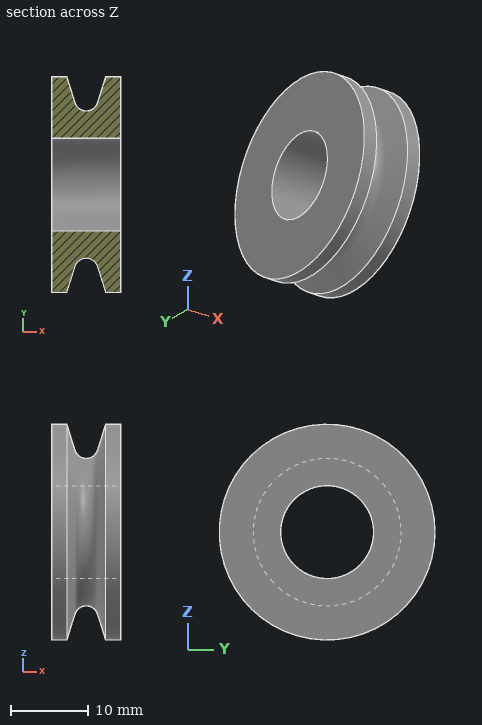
import cadquery as cq
import math

outer_radius = 14.0
bore_radius = 12.0 / 2
width = 9.0
groove_mouth_width = 5.0
groove_depth = 4.42
groove_floor_radius = 1.5

mouth_half = groove_mouth_width / 2
floor_radius = outer_radius - groove_depth
floor_center_radius = floor_radius + groove_floor_radius
mouth_height = outer_radius - floor_center_radius
mouth_distance = math.hypot(mouth_half, mouth_height)

wall_angle = math.acos(groove_floor_radius / mouth_distance) - math.atan2(mouth_height, mouth_half)
wall_foot_half = groove_floor_radius * math.cos(wall_angle)
wall_foot_radius = floor_center_radius - groove_floor_radius * math.sin(wall_angle)

profile = (
    cq.Workplane("XY")
    .moveTo(-width / 2, bore_radius)
    .lineTo(-width / 2, outer_radius)
    .lineTo(-mouth_half, outer_radius)
    .lineTo(-wall_foot_half, wall_foot_radius)
    .threePointArc((0, floor_radius), (wall_foot_half, wall_foot_radius))
    .lineTo(mouth_half, outer_radius)
    .lineTo(width / 2, outer_radius)
    .lineTo(width / 2, bore_radius)
    .close()
)

result = profile.revolve(360, (0, 0, 0), (1, 0, 0))